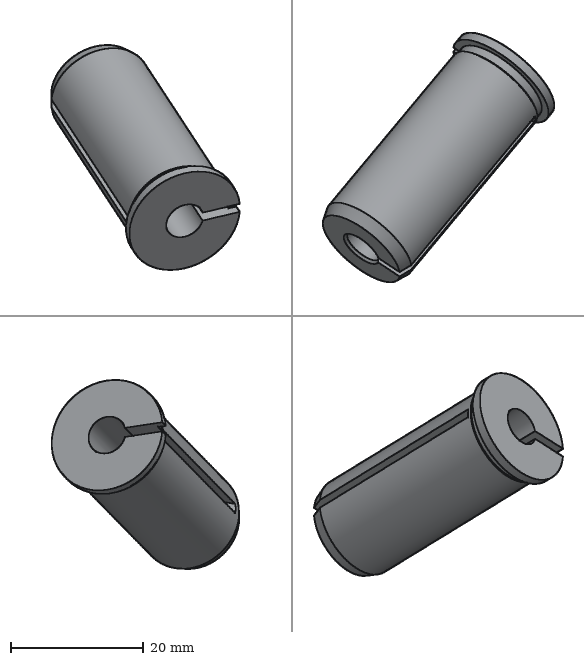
import cadquery as cq
import math

length = 37.0
body_diameter = 16.0
flange_diameter = 18.0
flange_thickness = 1.5
neck_diameter = 15.5
neck_width = 1.5

nose_taper_length = 2.0
nose_taper_angle = 20.0

bore_diameter = 6.0
countersink_depth = 0.5
countersink_angle = 30.0

slot_width = 1.5
saw_radius = 31.5
slot_length_outside = 33.5
slot_length_bore = 27.5


def make_sleeve():
    """Revolve the stepped outer profile about the X axis."""
    body_radius = body_diameter / 2
    neck_radius = neck_diameter / 2
    flange_radius = flange_diameter / 2
    nose_radius = body_radius - nose_taper_length * math.tan(math.radians(nose_taper_angle))
    flange_start = length - flange_thickness
    neck_start = flange_start - neck_width
    return (
        cq.Workplane("XY")
        .lineTo(0, nose_radius)
        .lineTo(nose_taper_length, body_radius)
        .lineTo(neck_start, body_radius)
        .lineTo(neck_start, neck_radius)
        .lineTo(flange_start, neck_radius)
        .lineTo(flange_start, flange_radius)
        .lineTo(length, flange_radius)
        .lineTo(length, 0)
        .close()
        .revolve(360, (0, 0, 0), (1, 0, 0))
    )


def make_bore():
    """Through bore, widened to a cone at the nose."""
    bore_radius = bore_diameter / 2
    mouth_radius = bore_radius + countersink_depth * math.tan(math.radians(countersink_angle))
    return (
        cq.Workplane("XY")
        .lineTo(0, mouth_radius)
        .lineTo(countersink_depth, bore_radius)
        .lineTo(length, bore_radius)
        .lineTo(length, 0)
        .close()
        .revolve(360, (0, 0, 0), (1, 0, 0))
    )


def make_nose_slot():
    """Slot on the -Y side, open at the nose, its end curved by the round saw blade."""
    bore_y = -bore_diameter / 2
    outside_y = -body_diameter / 2

    run = slot_length_outside - slot_length_bore
    rise = bore_y - outside_y
    chord = math.hypot(run, rise)
    centre_offset = math.sqrt(saw_radius**2 - (chord / 2) ** 2)
    centre_x = (slot_length_bore + slot_length_outside) / 2 - centre_offset * rise / chord
    centre_y = (bore_y + outside_y) / 2 - centre_offset * run / chord

    blade = (
        cq.Workplane("XY")
        .center(centre_x, centre_y)
        .circle(saw_radius)
        .extrude(slot_width / 2, both=True)
    )
    entry = (
        cq.Workplane("XY")
        .rect(centre_x, saw_radius, centered=False)
        .extrude(slot_width / 2, both=True)
        .translate((0, centre_y, 0))
    )
    return entry.union(blade)


def make_flange_slot():
    """The nose slot turned half a turn about the middle of the sleeve."""
    middle = length / 2
    return make_nose_slot().rotate((middle, 0, 0), (middle, 0, 1), 180)


result = make_sleeve().cut(make_bore()).cut(make_nose_slot()).cut(make_flange_slot())